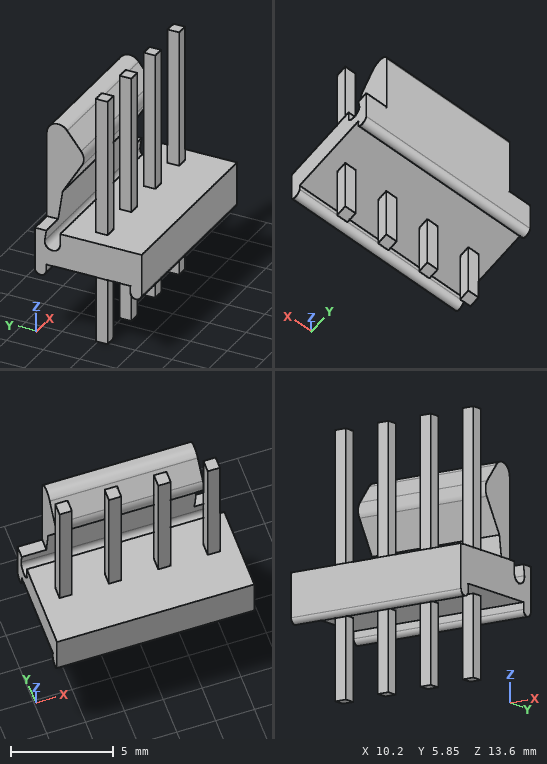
import cadquery as cq
import math

pin_count = 4
pitch = 2.54
pin_side = 0.64
pin_bottom = -4.21
pin_length = 13.59
pin_setback = 3.17

housing_length = pin_count * pitch
housing_depth = 5.85
housing_top = 1.9
back_y = housing_depth / 2

foot_width = 0.63
foot_radius = foot_width / 2
foot_straight = 0.35

latch_length = (pin_count - 1) * pitch
latch_top = 7.22
crown_radius = 0.63
nose_radius = 0.69
nose_center = (1.33, 5.6)
latch_neck = (0.87, 3.5)

slot_radius = 0.42
slot_center = (0.96, 1.29)


def polar(center, radius, angle):
    return (center[0] + radius * math.cos(angle), center[1] + radius * math.sin(angle))


def at(point):
    """Sketch point for a (forward, height) pair; the sketch's first axis points backward."""
    return (-point[0], point[1])


def tangent_angle(point, center, radius):
    """Angle, at the circle's centre, of the counterclockwise tangent point from an outside point."""
    dx = point[0] - center[0]
    dz = point[1] - center[1]
    return math.atan2(dz, dx) + math.acos(radius / math.hypot(dx, dz))


def make_housing_with_latch():
    crown_center = (crown_radius, latch_top - crown_radius)
    across = nose_center[0] - crown_center[0]
    rise = nose_center[1] - crown_center[1]
    radius_change = crown_radius - nose_radius
    slope_normal = math.atan2(rise, across) + math.acos(radius_change / math.hypot(across, rise))
    nose_end = tangent_angle(latch_neck, nose_center, nose_radius)
    slot_start = tangent_angle(latch_neck, slot_center, slot_radius)
    slot_right = slot_center[0] + slot_radius
    front_foot = housing_depth - foot_width

    profile = (
        cq.Workplane("YZ", origin=(-housing_length / 2, back_y, 0))
        .moveTo(0, -foot_straight)
        .lineTo(0, crown_center[1])
        .threePointArc(
            at(polar(crown_center, crown_radius, (math.pi + slope_normal) / 2)),
            at(polar(crown_center, crown_radius, slope_normal)),
        )
        .lineTo(*at(polar(nose_center, nose_radius, slope_normal)))
        .threePointArc(
            at(polar(nose_center, nose_radius, (slope_normal + nose_end) / 2)),
            at(polar(nose_center, nose_radius, nose_end)),
        )
        .lineTo(*at(latch_neck))
        .lineTo(*at(polar(slot_center, slot_radius, slot_start)))
        .threePointArc(
            at(polar(slot_center, slot_radius, -math.pi / 2)),
            at((slot_right, slot_center[1])),
        )
        .lineTo(-slot_right, housing_top)
        .lineTo(-housing_depth, housing_top)
        .lineTo(-housing_depth, -foot_straight)
        .threePointArc(
            (-housing_depth + foot_radius, -foot_straight - foot_radius),
            (-front_foot, -foot_straight),
        )
        .lineTo(-front_foot, 0)
        .lineTo(-foot_width, 0)
        .lineTo(-foot_width, -foot_straight)
        .threePointArc((-foot_radius, -foot_straight - foot_radius), (0, -foot_straight))
        .close()
    )
    return profile.extrude(housing_length)


def trim_latch_ends(body):
    """Shorten the latch at both ends, leaving the housing at full length."""
    end_length = (housing_length - latch_length) / 2
    for side in (-1, 1):
        end_x = side * (latch_length + end_length) / 2
        trim = cq.Workplane("XY", origin=(end_x, 0, housing_top)).box(
            end_length, housing_depth, latch_top, centered=(True, True, False)
        )
        body = body.cut(trim)
    return body


def add_pins(body):
    for index in range(pin_count):
        pin_x = (index - (pin_count - 1) / 2) * pitch
        pin = cq.Workplane("XY", origin=(pin_x, back_y - pin_setback, pin_bottom)).box(
            pin_side, pin_side, pin_length, centered=(True, True, False)
        )
        body = body.union(pin)
    return body


result = add_pins(trim_latch_ends(make_housing_with_latch()))